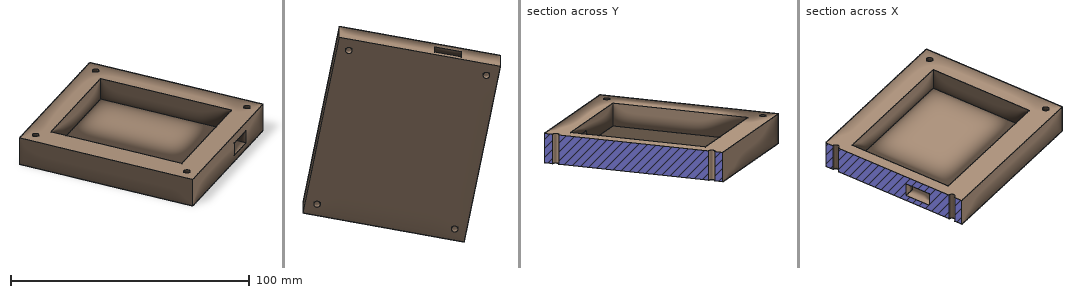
import cadquery as cq

length = 80.5
width = 69.0
height = 13.0

end_wall = 9.8
side_wall = 10.15
cavity_depth = 10.0
cavity_length = length - 2 * end_wall
cavity_width = width - 2 * side_wall
floor_thickness = height - cavity_depth

hole_diameter = 2.7
hole_inset = 5.1

port_width = 11.5
port_side_gap = 6.5
port_cover = 4.0
port_height = cavity_depth - port_cover
port_center_y = cavity_width / 2 - port_side_gap - port_width / 2

on_base = (True, True, False)


def make_cavity():
    return (
        cq.Workplane("XY", origin=(0, 0, floor_thickness))
        .box(cavity_length, cavity_width, cavity_depth, centered=on_base)
    )


def make_screw_holes():
    return (
        cq.Workplane("XY")
        .rect(length - 2 * hole_inset, width - 2 * hole_inset, forConstruction=True)
        .vertices()
        .circle(hole_diameter / 2)
        .extrude(height)
    )


def make_port():
    return (
        cq.Workplane("XY", origin=(cavity_length / 2, port_center_y, floor_thickness))
        .box(end_wall, port_width, port_height, centered=(False, True, False))
    )


block = cq.Workplane("XY").box(length, width, height, centered=on_base)
result = block.cut(make_cavity()).cut(make_screw_holes()).cut(make_port())